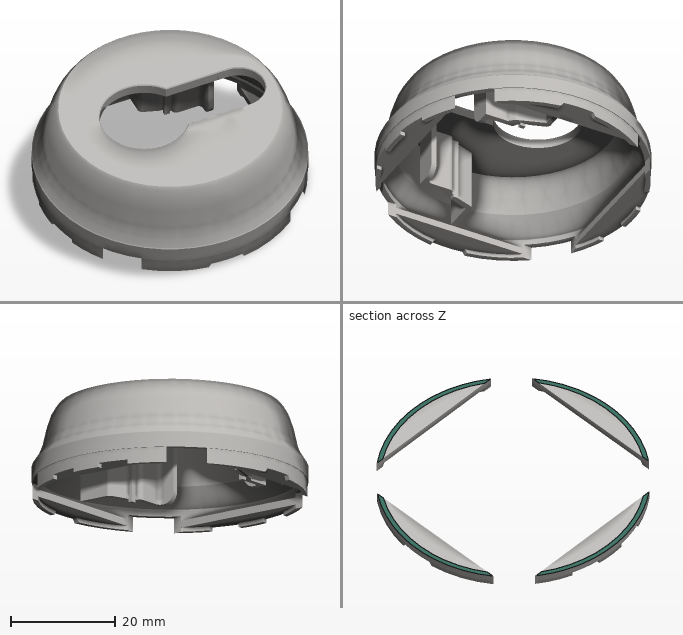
import cadquery as cq

TOTAL_HEIGHT = 17.8
BAND_BOTTOM = 3.0
BAND_TOP = 6.0
LEDGE_HEIGHT = 4.1
TOP_THICKNESS = 2.1
CEILING = TOTAL_HEIGHT - TOP_THICKNESS

BAND_RADIUS = 26.5
BAND_EDGE_BREAK = 0.15
TOP_RADIUS = 21.4
TOP_EDGE_BREAK = 0.2
LOWER_CURVE_POINT = (24.68, 9.2)
UPPER_CURVE_POINT = (22.83, 15.75)
FLARE_FOOT_DIRECTION = (-0.8, 1.0)
SHOULDER_TOP_DIRECTION = (-1.0, 1.0)

CEILING_RADIUS = 20.8
WAIST_RADIUS = 22.9
WAIST_HEIGHT = 8.3
LEDGE_WIDTH = 0.3
LEDGE_RISE = 0.4

RIM_RADIUS = 26.35
RIM_INNER_RADIUS = 25.35
RIM_SQUARE_SIDE = 42.4
SHELF_TOP = 2.2
TAB_NOTCH_DEPTH = 0.8
TAB_NOTCH_WIDTH = 6.0
TAB_NOTCH_OFFSET = 6.0
SIDE_NOTCH_BOTTOM_WIDTH = 7.5
SIDE_NOTCH_TOP_WIDTH = 6.5

KEYHOLE_RADIUS = 8.6
KEYHOLE_CENTER_Y = -5.4
SLOT_WIDTH = 10.3
SLOT_CENTER_Y = 14.4
KEYHOLE_CHAMFER = 0.2

WALL_THICKNESS = 1.1
WALL_X = 12.0
FIN_TIP_X = 8.5
FIN_FACE_Y = 12.0
FIN_CORNER_RADIUS = 2.4
WALL_FILLET = 0.85
WALL_ROUND = 1.0
WALL_ROUND_START_Y = 7.2
STEP_END_Y = 4.8
OBLIQUE_START = (13.9, 4.1)
OBLIQUE_END = (15.0, 0.8)
WEB_FACE_Y = 0.4
WEB_END_X = 22.0
RIB_WIDTH = 0.85
RIB_DROP = 0.6


def outer_body():
    """Revolved outside of the shell together with the lower rim."""
    flare_foot = (BAND_RADIUS - BAND_EDGE_BREAK, BAND_TOP + BAND_EDGE_BREAK)
    shoulder_top = (TOP_RADIUS + TOP_EDGE_BREAK, TOTAL_HEIGHT - TOP_EDGE_BREAK)
    return (
        cq.Workplane("XZ")
        .lineTo(RIM_RADIUS, 0)
        .lineTo(RIM_RADIUS, BAND_BOTTOM)
        .lineTo(BAND_RADIUS, BAND_BOTTOM)
        .lineTo(BAND_RADIUS, BAND_TOP)
        .lineTo(*flare_foot)
        .spline(
            [LOWER_CURVE_POINT, UPPER_CURVE_POINT, shoulder_top],
            tangents=[FLARE_FOOT_DIRECTION, SHOULDER_TOP_DIRECTION],
            includeCurrent=True,
        )
        .lineTo(TOP_RADIUS, TOTAL_HEIGHT)
        .lineTo(0, TOTAL_HEIGHT)
        .close()
        .revolve(360, (0, 0, 0), (0, 1, 0))
    )


def cavity():
    """Revolved hollow that is open at the bottom."""
    return (
        cq.Workplane("XZ")
        .lineTo(RIM_INNER_RADIUS, 0)
        .lineTo(RIM_INNER_RADIUS, LEDGE_HEIGHT)
        .lineTo(RIM_INNER_RADIUS + LEDGE_WIDTH, LEDGE_HEIGHT + LEDGE_RISE)
        .lineTo(WAIST_RADIUS, WAIST_HEIGHT)
        .lineTo(CEILING_RADIUS, CEILING)
        .lineTo(0, CEILING)
        .close()
        .revolve(360, (0, 0, 0), (0, 1, 0))
    )


def keyhole_outline(growth):
    """Keyhole face, grown outwards all round, on the XY plane."""
    slot_width = SLOT_WIDTH + 2 * growth
    slot_length = SLOT_CENTER_Y - KEYHOLE_CENTER_Y
    circle = cq.Sketch().push([(0, KEYHOLE_CENTER_Y)]).circle(KEYHOLE_RADIUS + growth)
    return (
        circle
        .reset()
        .push([(0, KEYHOLE_CENTER_Y + slot_length / 2)])
        .rect(slot_width, slot_length)
        .reset()
        .push([(0, SLOT_CENTER_Y)])
        .circle(slot_width / 2)
        .clean()
    )


def keyhole_cutter():
    """Keyhole through the top with a chamfered mouth."""
    through = (
        cq.Workplane("XY")
        .placeSketch(keyhole_outline(0))
        .extrude(TOTAL_HEIGHT)
    )
    mouth = (
        cq.Workplane("XY", origin=(0, 0, TOTAL_HEIGHT - KEYHOLE_CHAMFER))
        .placeSketch(
            keyhole_outline(0),
            keyhole_outline(KEYHOLE_CHAMFER).moved(cq.Location(cq.Vector(0, 0, KEYHOLE_CHAMFER))),
        )
        .loft()
    )
    return through.union(mouth)


def guide_wall():
    """Stepped wall between keyhole and shell on the +X side, hanging from the ceiling."""
    thickness = WALL_THICKNESS
    height = CEILING - BAND_BOTTOM
    step_x = WALL_X + WALL_ROUND
    fin_corner = (FIN_TIP_X, FIN_FACE_Y + thickness / 2, BAND_BOTTOM)
    wall = (
        cq.Workplane("XY", origin=(0, 0, BAND_BOTTOM))
        .moveTo(FIN_TIP_X, FIN_FACE_Y)
        .lineTo(WALL_X - WALL_FILLET, FIN_FACE_Y)
        .radiusArc((WALL_X, FIN_FACE_Y - WALL_FILLET), WALL_FILLET)
        .lineTo(WALL_X, WALL_ROUND_START_Y)
        .radiusArc((step_x, WALL_ROUND_START_Y - WALL_ROUND), -WALL_ROUND)
        .lineTo(step_x, STEP_END_Y)
        .lineTo(step_x + RIB_WIDTH, STEP_END_Y)
        .lineTo(*OBLIQUE_START)
        .lineTo(*OBLIQUE_END)
        .lineTo(OBLIQUE_END[0] + thickness / 2, WEB_FACE_Y)
        .lineTo(WEB_END_X, WEB_FACE_Y)
        .lineTo(WEB_END_X, WEB_FACE_Y + thickness)
        .lineTo(OBLIQUE_END[0] + thickness, WEB_FACE_Y + thickness)
        .lineTo(step_x + thickness, WALL_ROUND_START_Y)
        .lineTo(WALL_X + thickness, WALL_ROUND_START_Y + thickness)
        .lineTo(WALL_X + thickness, FIN_FACE_Y + thickness)
        .lineTo(FIN_TIP_X, FIN_FACE_Y + thickness)
        .close()
        .extrude(height)
        .edges(cq.selectors.NearestToPointSelector(fin_corner))
        .fillet(FIN_CORNER_RADIUS)
    )
    rib = (
        cq.Workplane("XY", origin=(0, 0, BAND_BOTTOM - RIB_DROP))
        .moveTo(step_x, STEP_END_Y)
        .rect(RIB_WIDTH, thickness, centered=False)
        .extrude(height + RIB_DROP)
    )
    return wall.union(rib)


def rim_shelf():
    """Shelf inside each rim tab, before the rim is split."""
    return (
        cq.Workplane("XY", origin=(0, 0, TAB_NOTCH_DEPTH))
        .circle(RIM_RADIUS)
        .extrude(SHELF_TOP - TAB_NOTCH_DEPTH)
    )


def rim_opening():
    """Square opening whose corners break through the rim and leave four tabs."""
    return cq.Workplane("XY").rect(RIM_SQUARE_SIDE, RIM_SQUARE_SIDE).extrude(BAND_BOTTOM)


def tab_notches():
    """Two shallow notches across the front and back tabs."""
    return (
        cq.Workplane("XY")
        .pushPoints([(-TAB_NOTCH_OFFSET, 0), (TAB_NOTCH_OFFSET, 0)])
        .rect(TAB_NOTCH_WIDTH, 2 * BAND_RADIUS)
        .extrude(TAB_NOTCH_DEPTH)
    )


def side_notches():
    """Shallow trapezoidal notch across the left and right tabs."""
    return (
        cq.Workplane("YZ", origin=(-BAND_RADIUS, 0, 0))
        .moveTo(-SIDE_NOTCH_BOTTOM_WIDTH / 2, 0)
        .lineTo(SIDE_NOTCH_BOTTOM_WIDTH / 2, 0)
        .lineTo(SIDE_NOTCH_TOP_WIDTH / 2, TAB_NOTCH_DEPTH)
        .lineTo(-SIDE_NOTCH_TOP_WIDTH / 2, TAB_NOTCH_DEPTH)
        .close()
        .extrude(2 * BAND_RADIUS)
    )


body = outer_body().cut(cavity()).cut(keyhole_cutter())
body = body.union(rim_shelf()).cut(rim_opening())
body = body.cut(tab_notches()).cut(side_notches())

wall = guide_wall()
result = body.union(wall).union(wall.mirror("YZ"))